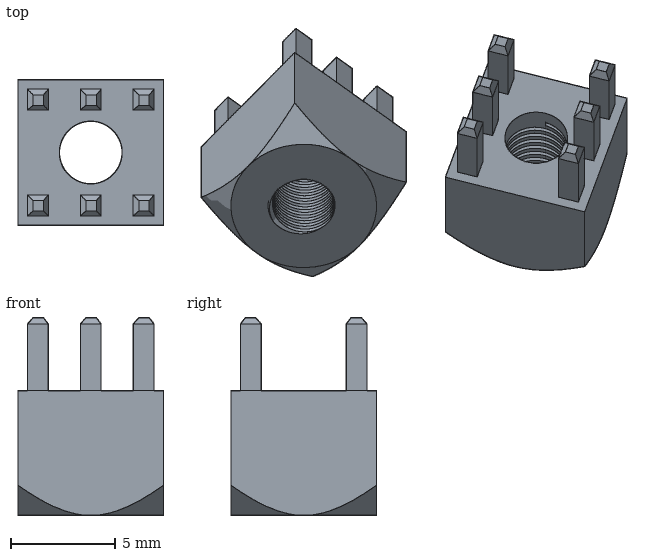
import math

import cadquery as cq

body_width = 7.0
body_height = 6.0
bore_diameter = 3.0
cone_margin = 2.0

thread_pitch = 0.5
thread_opening = 0.25
thread_flank_angle = 60.0
thread_overlap = 0.05
thread_top_depth = 0.9
thread_top = body_height - thread_top_depth

pin_pitch = 2.54
pins_per_row = 3
row_spacing = 2 * pin_pitch
pin_width = 1.0
pin_length = 3.5
tip_height = 0.3
tip_width = 0.5
tip_offset = 0.02


def conical_underside():
    """Solid of revolution whose 45 degree underside touches the middle of each bottom edge."""
    base_radius = body_width / 2
    outer_radius = base_radius + cone_margin
    profile = [
        (0, 0),
        (base_radius, 0),
        (outer_radius, cone_margin),
        (outer_radius, body_height),
        (0, body_height),
    ]
    return cq.Workplane("XZ").polyline(profile).close().revolve(360, (0, 0), (0, 1))


def thread_groove():
    """V-shaped helical cutter that runs from below the underside up to thread_top."""
    bore_radius = bore_diameter / 2
    thread_turns = math.ceil(thread_top / thread_pitch) + 1
    start_z = thread_top - thread_turns * thread_pitch
    slope = math.tan(math.radians(thread_flank_angle / 2))
    v_depth = thread_opening / 2 / slope
    inner_half_width = thread_opening / 2 + thread_overlap * slope
    helix = cq.Wire.makeHelix(
        thread_pitch,
        thread_top - start_z,
        bore_radius,
        center=cq.Vector(0, 0, start_z),
    )
    return (
        cq.Workplane("XZ")
        .moveTo(bore_radius - thread_overlap, start_z - inner_half_width)
        .lineTo(bore_radius + v_depth, start_z)
        .lineTo(bore_radius - thread_overlap, start_z + inner_half_width)
        .close()
        .sweep(cq.Workplane(helix), isFrenet=True)
    )


def make_body():
    """Chamfered block with the threaded bore running right through it."""
    block = cq.Workplane("XY").rect(body_width, body_width).extrude(body_height)
    body = block.intersect(conical_underside())
    bore = cq.Workplane("XY").circle(bore_diameter / 2).extrude(body_height)
    return body.cut(thread_groove()).cut(bore)


def make_pin(x, y):
    """Square pin standing on the body, ending in a tapered tip."""
    shank_length = pin_length - tip_height
    shank = (
        cq.Workplane("XY", origin=(x, y, body_height))
        .rect(pin_width, pin_width)
        .extrude(shank_length)
    )
    tip = (
        cq.Workplane("XY", origin=(x, y, body_height + shank_length))
        .rect(pin_width, pin_width)
        .workplane(offset=tip_height)
        .center(tip_offset, -tip_offset)
        .rect(tip_width, tip_width)
        .loft(ruled=True)
    )
    return shank.union(tip)


result = make_body()
for column in range(pins_per_row):
    pin_x = (column - (pins_per_row - 1) / 2) * pin_pitch
    for side in (-1, 1):
        result = result.union(make_pin(pin_x, side * row_spacing / 2))